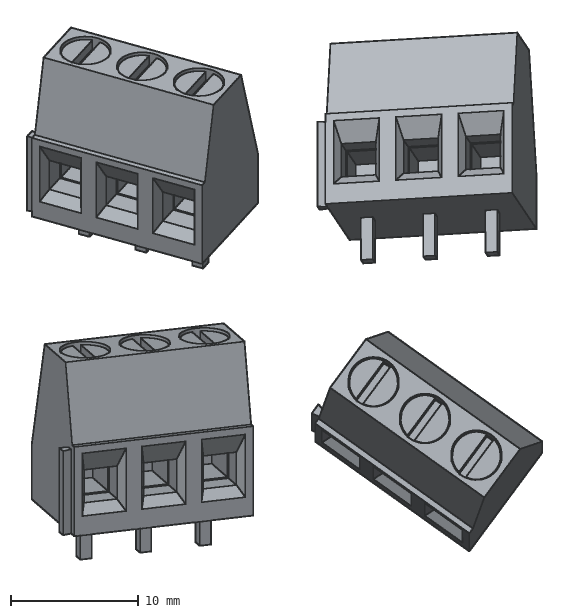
import cadquery as cq


overall_length = 15.75
overall_height = 17.3

pole_count = 3
pitch = 5.0
housing_length = pole_count * pitch
housing_depth = 9.8
housing_height = 13.82
ledge_height = 7.42
ledge_depth = 0.48
top_front_y = 2.0
top_back_y = 6.82
back_wall_height = 4.57

key_length = overall_length - housing_length
key_height = 6.99
key_root_width = 0.55
key_tip_width = 0.92
key_y = 1.02

funnel_width = 3.67
funnel_bottom = 1.61
funnel_top = 6.82
funnel_depth = 0.83
passage_width = 2.77
passage_bottom = 2.4
passage_top = 5.14
passage_end_y = 2.63
clamp_rim = 0.112

screw_y = 4.4
well_diameter = 4.0
well_depth = 1.38
screw_diameter = 3.8
screw_recess = 0.22
slot_width = 0.67
slot_depth = 0.86

clamp_end_y = 2 * screw_y - passage_end_y

pin_width = 0.95
pin_thickness = 0.99
pin_length = overall_height - housing_height
pin_y = 4.64

pole_positions = [(i - (pole_count - 1) / 2) * pitch for i in range(pole_count)]


def make_housing():
    """Side profile extruded along the row of poles."""
    profile = [
        (0, 0),
        (0, ledge_height),
        (ledge_depth, ledge_height),
        (top_front_y, housing_height),
        (top_back_y, housing_height),
        (housing_depth, back_wall_height),
        (housing_depth, 0),
    ]
    return cq.Workplane("YZ").polyline(profile).close().extrude(housing_length / 2, both=True)


def make_key():
    """Dovetail rib that widens away from the housing."""
    root_x = -housing_length / 2
    tip_x = root_x - key_length
    outline = [
        (root_x, key_y - key_root_width / 2),
        (root_x, key_y + key_root_width / 2),
        (tip_x, key_y + key_tip_width / 2),
        (tip_x, key_y - key_tip_width / 2),
    ]
    return cq.Workplane("XY").polyline(outline).close().extrude(key_height)


def make_opening(x, width, bottom, top, start_y, end_y):
    """Rectangular block running back from start_y to end_y."""
    return (
        cq.Workplane("XY")
        .box(width, end_y - start_y, top - bottom, centered=(True, False, False))
        .translate((x, start_y, bottom))
    )


def make_wire_entry(x):
    """Empty space of one wire entry."""
    funnel = (
        cq.Workplane("XZ")
        .center(x, (funnel_bottom + funnel_top) / 2)
        .rect(funnel_width, funnel_top - funnel_bottom)
        .workplane(offset=-funnel_depth)
        .center(0, (passage_bottom + passage_top - funnel_bottom - funnel_top) / 2)
        .rect(passage_width, passage_top - passage_bottom)
        .loft(ruled=True)
    )
    passage = make_opening(x, passage_width, passage_bottom, passage_top, funnel_depth, passage_end_y)
    clamp = make_opening(
        x,
        passage_width - 2 * clamp_rim,
        passage_bottom + clamp_rim,
        passage_top - clamp_rim,
        passage_end_y,
        clamp_end_y,
    )
    return funnel.union(passage).union(clamp)


def make_screw_well(x):
    """Empty space around one slotted screw head."""
    well_floor = cq.Workplane("XY", origin=(x, screw_y, housing_height - well_depth))
    head_height = well_depth - screw_recess
    slot = (
        well_floor.workplane(offset=head_height - slot_depth)
        .rect(slot_width, well_diameter)
        .extrude(slot_depth)
    )
    head = well_floor.circle(screw_diameter / 2).extrude(head_height).cut(slot)
    return well_floor.circle(well_diameter / 2).extrude(well_depth).cut(head)


def make_pin(x):
    """Rectangular pin hanging from the underside."""
    return cq.Workplane("XY").center(x, pin_y).rect(pin_width, pin_thickness).extrude(-pin_length)


result = make_housing().union(make_key())
for pole_x in pole_positions:
    result = (
        result.cut(make_wire_entry(pole_x))
        .cut(make_screw_well(pole_x))
        .union(make_pin(pole_x))
    )